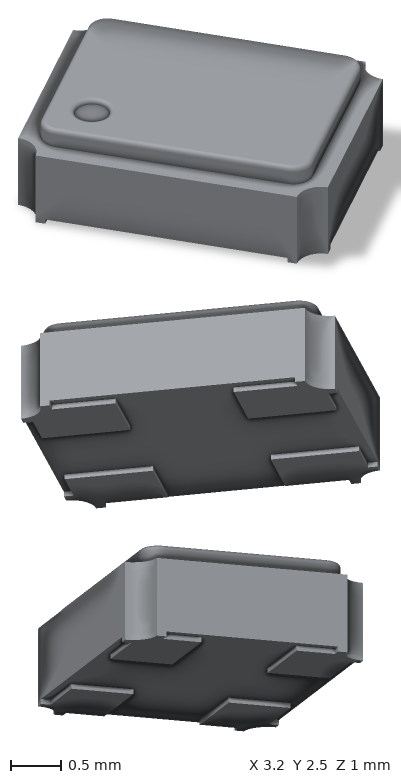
import cadquery as cq

length = 3.2
width = 2.5
height = 1.0

notch_radius = 0.25
pad_thickness = 0.05
lid_height = 0.2
lid_inset = 0.2
lid_corner_radius = 0.2
lid_edge_radius = 0.05
base_height = height - pad_thickness - lid_height

dimple_x = -0.95
dimple_y = -0.6
dimple_floor_radius = 0.175
dimple_rim_radius = 0.05

pad_length = 1.0
pad_width = 0.75
pad_inset = 0.1
tab_reach = notch_radius + pad_inset


def make_base():
    """Block standing on the pads, with a quarter-round notch in each corner."""
    block = (
        cq.Workplane("XY").workplane(offset=pad_thickness)
        .rect(length, width).extrude(base_height)
    )
    notches = (
        cq.Workplane("XY").rect(length, width, forConstruction=True).vertices()
        .circle(notch_radius).extrude(height)
    )
    return block.cut(notches)


def make_lid():
    """Rounded lid step on top of the base."""
    return (
        cq.Workplane("XY").workplane(offset=pad_thickness + base_height)
        .rect(length - 2 * lid_inset, width - 2 * lid_inset).extrude(lid_height)
        .edges("|Z").fillet(lid_corner_radius)
        .faces(">Z").edges().fillet(lid_edge_radius)
    )


def make_dimple():
    """Shallow round recess whose wall flares outwards in a convex arc."""
    mouth_radius = dimple_floor_radius + dimple_rim_radius
    diagonal = dimple_rim_radius * 0.5 ** 0.5
    return (
        cq.Workplane("XZ")
        .lineTo(mouth_radius, 0)
        .threePointArc(
            (mouth_radius - diagonal, diagonal - dimple_rim_radius),
            (dimple_floor_radius, -dimple_rim_radius),
        )
        .lineTo(0, -dimple_rim_radius)
        .close()
        .revolve(360, (0, 0), (0, 1))
        .translate((dimple_x, dimple_y, height))
    )


def make_housing():
    return make_base().union(make_lid()).cut(make_dimple())


def make_pad(side_x, side_y):
    """Corner pad: inset from the package edges, with tabs reaching them beside the notch."""

    def place(from_side, from_front):
        """Point at the given distances inwards from the package corner."""
        return (side_x * (length / 2 - from_side), side_y * (width / 2 - from_front))

    outline = [
        place(0, notch_radius),
        place(0, tab_reach),
        place(pad_inset, tab_reach),
        place(pad_inset, pad_width),
        place(pad_length, pad_width),
        place(pad_length, pad_inset),
        place(tab_reach, pad_inset),
        place(tab_reach, 0),
        place(notch_radius, 0),
    ]
    notch_middle = notch_radius * 0.5 ** 0.5
    return (
        cq.Workplane("XY")
        .polyline(outline)
        .threePointArc(place(notch_middle, notch_middle), outline[0])
        .close()
        .extrude(pad_thickness)
    )


housing = make_housing()
pads = [make_pad(side_x, side_y) for side_x in (-1, 1) for side_y in (-1, 1)]

result = cq.Compound.makeCompound([housing.val(), *(pad.val() for pad in pads)])